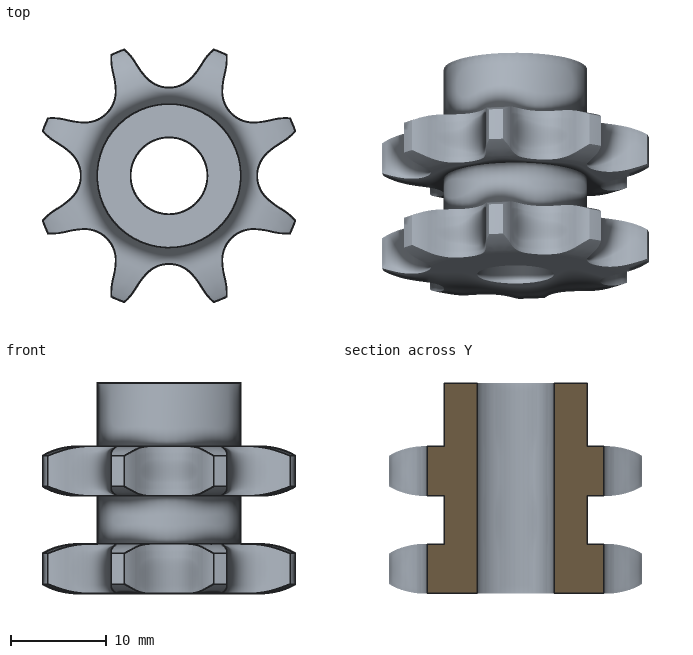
import math

import cadquery as cq

TOOTH_COUNT = 8
CHAIN_PITCH = 9.525
ROLLER_DIAMETER = 6.35
ROW_SPACING = 10.2
TIP_RADIUS = 14.0

RIM_WIDTH = 5.2
RIM_ROUNDING_DROP = 1.0
RIM_ROUNDING_RADIUS = 10.0

HUB_DIAMETER = 15.0
HUB_LENGTH = 22.0
BORE_DIAMETER = 8.0

SEAT_DIAMETER_FACTOR = 1.005
SEAT_CLEARANCE = 0.0762
TOOTH_ANGLE = 2 * math.pi / TOOTH_COUNT
HALF_TOOTH_ANGLE = TOOTH_ANGLE / 2
PITCH_RADIUS = CHAIN_PITCH / 2 / math.sin(HALF_TOOTH_ANGLE)
SEAT_RADIUS = (SEAT_DIAMETER_FACTOR * ROLLER_DIAMETER + SEAT_CLEARANCE) / 2
SEAT_ANGLE = math.radians(35 + 60 / TOOTH_COUNT)
WORKING_ANGLE = math.radians(18 - 56 / TOOTH_COUNT)
WORKING_CENTER_OFFSET = 0.8 * ROLLER_DIAMETER
TOPPING_CENTER_OFFSET = 1.4 * ROLLER_DIAMETER


def polar(center, radius, angle):
    """Point at the given radius and angle around a center."""
    return (center[0] + radius * math.cos(angle), center[1] + radius * math.sin(angle))


def rotated(point, angle):
    """Point turned about the sprocket axis."""
    return polar((0, 0), math.hypot(*point), math.atan2(point[1], point[0]) + angle)


def mirrored(point):
    """Point reflected across the centerline of the gap along +X."""
    return (point[0], -point[1])


def flank_points():
    """Key points of the +Y flank of the gap along +X, from the seat outward."""
    seat_center = (PITCH_RADIUS, 0)
    seat_end_direction = math.pi / 2 + SEAT_ANGLE
    flank_normal = seat_end_direction - WORKING_ANGLE
    seat_end = polar(seat_center, SEAT_RADIUS, seat_end_direction)

    working_center = polar(seat_center, -WORKING_CENTER_OFFSET, seat_end_direction)
    working_radius = SEAT_RADIUS + WORKING_CENTER_OFFSET
    working_middle = polar(working_center, working_radius, seat_end_direction - WORKING_ANGLE / 2)
    working_end = polar(working_center, working_radius, flank_normal)

    topping_center = polar(seat_center, TOPPING_CENTER_OFFSET, math.pi / 2 + HALF_TOOTH_ANGLE)
    topping_radius = (
        (topping_center[0] - working_end[0]) * math.cos(flank_normal)
        + (topping_center[1] - working_end[1]) * math.sin(flank_normal)
    )
    topping_start_direction = flank_normal - math.pi
    topping_start = polar(topping_center, topping_radius, topping_start_direction)

    center_distance = math.hypot(*topping_center)
    tip_offset_angle = math.acos(
        (center_distance**2 + TIP_RADIUS**2 - topping_radius**2)
        / (2 * center_distance * TIP_RADIUS)
    )
    topping_center_direction = math.atan2(topping_center[1], topping_center[0])
    tip = polar((0, 0), TIP_RADIUS, topping_center_direction - tip_offset_angle)
    tip_direction = math.atan2(tip[1] - topping_center[1], tip[0] - topping_center[0])
    topping_middle = polar(topping_center, topping_radius, (topping_start_direction + tip_direction) / 2)

    return seat_end, working_middle, working_end, topping_start, topping_middle, tip


def tooth_outline():
    """Closed outline of all the teeth, traced gap by gap."""
    seat_end, working_middle, working_end, topping_start, topping_middle, tip = flank_points()
    seat_bottom = (PITCH_RADIUS - SEAT_RADIUS, 0)
    tooth_middle = polar((0, 0), TIP_RADIUS, HALF_TOOTH_ANGLE)
    next_tip = rotated(mirrored(tip), TOOTH_ANGLE)
    outline = cq.Workplane("XY").moveTo(*mirrored(tip))
    for index in range(TOOTH_COUNT):
        turn = TOOTH_ANGLE * index

        def arc(middle, end):
            return outline.threePointArc(rotated(middle, turn), rotated(end, turn))

        outline = arc(mirrored(topping_middle), mirrored(topping_start))
        outline = outline.lineTo(*rotated(mirrored(working_end), turn))
        outline = arc(mirrored(working_middle), mirrored(seat_end))
        outline = arc(seat_bottom, seat_end)
        outline = arc(working_middle, working_end)
        outline = outline.lineTo(*rotated(topping_start, turn))
        outline = arc(topping_middle, tip)
        outline = arc(tooth_middle, next_tip)
    return outline.close()


def rounded_disc():
    """Disc whose two faces curve inward toward the tip circle."""
    run = math.sqrt(RIM_ROUNDING_RADIUS**2 - (RIM_ROUNDING_RADIUS - RIM_ROUNDING_DROP) ** 2)
    flat_radius = TIP_RADIUS - run
    half_angle = math.asin(run / RIM_ROUNDING_RADIUS) / 2
    lower_center = (flat_radius, RIM_ROUNDING_RADIUS)
    upper_center = (flat_radius, RIM_WIDTH - RIM_ROUNDING_RADIUS)
    lower_middle = polar(lower_center, RIM_ROUNDING_RADIUS, half_angle - math.pi / 2)
    upper_middle = polar(upper_center, RIM_ROUNDING_RADIUS, math.pi / 2 - half_angle)
    return (
        cq.Workplane("XZ")
        .lineTo(flat_radius, 0)
        .threePointArc(lower_middle, (TIP_RADIUS, RIM_ROUNDING_DROP))
        .lineTo(TIP_RADIUS, RIM_WIDTH - RIM_ROUNDING_DROP)
        .threePointArc(upper_middle, (flat_radius, RIM_WIDTH))
        .lineTo(0, RIM_WIDTH)
        .close()
        .revolve(360, (0, 0), (0, 1))
    )


def toothed_rim():
    """One row of teeth with its lower face at Z = 0."""
    return tooth_outline().extrude(RIM_WIDTH).intersect(rounded_disc())


def sprocket():
    """Hub with two rows of teeth and a through bore."""
    body = cq.Workplane("XY").circle(HUB_DIAMETER / 2).extrude(HUB_LENGTH)
    rim = toothed_rim()
    for base_height in (0, ROW_SPACING):
        body = body.union(rim.translate((0, 0, base_height)))
    bore = cq.Workplane("XY").circle(BORE_DIAMETER / 2).extrude(HUB_LENGTH)
    return body.cut(bore)


result = sprocket()